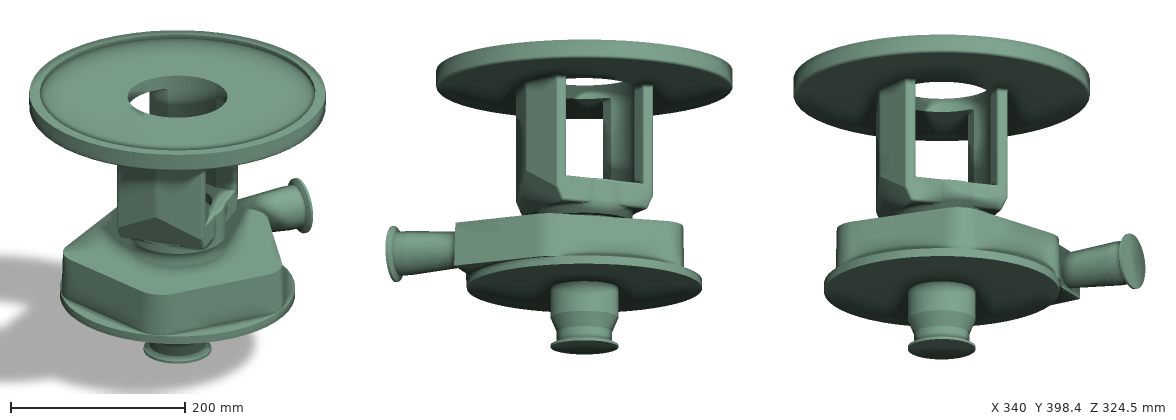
import cadquery as cq
import math

TOTAL_HEIGHT = 324.5
PLATE_BOTTOM = 303.5
YOKE_FLOOR = 187.5
YOKE_BOTTOM = 157.7
COLLAR_BOTTOM = 146.0
HOUSING_TOP = 129.5
FLANGE_TOP = 79.0
FLANGE_BOTTOM = 69.5
REDUCER_TOP = 34.5
REDUCER_BOTTOM = 18.5

PLATE_RADIUS = 170.0
PLATE_RECESS_RADIUS = 158.0
PLATE_RECESS_DEPTH = 5.0
PLATE_BORE_RADIUS = 57.5

YOKE_HALF_WIDTH = 52.0
YOKE_RIDGE_Y = 75.5
YOKE_CORNER_Y = 61.7
YOKE_RIDGE_BOTTOM = 200.5
YOKE_FOOT_Y = 54.5
WINDOW_HALF_WIDTH = 49.5
YOKE_RIDGE_RADIUS = 12.0
SMALL_RADIUS = 3.0

COLLAR_RADIUS = 55.0
NECK_RADIUS = 45.0
NECK_FLARE = 10.5
SHAFT_RECESS_RADIUS = 40.0
SHAFT_RECESS_DEPTH = 12.0

HOUSING_INNER_RADIUS = 113.0
HOUSING_SIDES = 5
FIRST_CORNER_ANGLE = 135
HOUSING_CORNER_RADIUS = 32.3
HOUSING_SPREAD = 1.0
FLANGE_RADIUS = 135.0

OUTLET_ANGLE = 45
OUTLET_OFFSET = 90.5
OUTLET_FACE = 116.7
OUTLET_HALF_WIDTH = 30.0
OUTLET_END = 200.5
OUTLET_PIPE_LENGTH = 20.5
OUTLET_PIPE_RADIUS = 25.3
OUTLET_ROOT_RADIUS = 20.5
OUTLET_CLAMP_RADIUS = 32.05
OUTLET_ROOT_DEPTH = 16.0

PIPE_RADIUS = 38.85
PIPE_END_RADIUS = 32.0
PIPE_CLAMP_RADIUS = 38.85

CLAMP_LIP = 2.8
CLAMP_HEIGHT = 6.5

HOUSING_MID = (HOUSING_TOP + FLANGE_TOP) / 2


def revolve_profile(points):
    """Solid of revolution about Z from (radius, height) points."""
    return cq.Workplane("XZ").polyline(points).close().revolve(360, (0, 0, 0), (0, 1, 0))


def cylinder(radius, bottom, top):
    return cq.Workplane("XY").workplane(offset=bottom).circle(radius).extrude(top - bottom)


def make_plate():
    plate = cylinder(PLATE_RADIUS, PLATE_BOTTOM, TOTAL_HEIGHT).faces("<Z").edges().fillet(SMALL_RADIUS)
    recess = cylinder(PLATE_RECESS_RADIUS, TOTAL_HEIGHT - PLATE_RECESS_DEPTH, TOTAL_HEIGHT)
    return plate.cut(recess)


def make_yoke():
    """Fork with ridged arms and sloping feet, rounded along its edges."""
    plan = [
        (YOKE_HALF_WIDTH, -YOKE_CORNER_Y),
        (YOKE_HALF_WIDTH, YOKE_CORNER_Y),
        (0, YOKE_RIDGE_Y),
        (-YOKE_HALF_WIDTH, YOKE_CORNER_Y),
        (-YOKE_HALF_WIDTH, -YOKE_CORNER_Y),
        (0, -YOKE_RIDGE_Y),
    ]
    block = cq.Workplane("XY").workplane(offset=YOKE_BOTTOM).polyline(plan).close()
    block = block.extrude(PLATE_BOTTOM - YOKE_BOTTOM)
    ridge_corners = cq.selectors.BoxSelector((-4, -394.5, 0), (4, 394.5, 394.5))
    block = block.edges("|Z").edges(ridge_corners).fillet(YOKE_RIDGE_RADIUS)
    side = [
        (YOKE_FOOT_Y, YOKE_BOTTOM),
        (YOKE_RIDGE_Y, YOKE_RIDGE_BOTTOM),
        (YOKE_RIDGE_Y, PLATE_BOTTOM),
        (-YOKE_RIDGE_Y, PLATE_BOTTOM),
        (-YOKE_RIDGE_Y, YOKE_RIDGE_BOTTOM),
        (-YOKE_FOOT_Y, YOKE_BOTTOM),
    ]
    envelope = cq.Workplane("YZ").polyline(side).close().extrude(YOKE_HALF_WIDTH, both=True)
    window_height = PLATE_BOTTOM - YOKE_FLOOR
    window = cq.Workplane("XY").workplane(offset=YOKE_FLOOR)
    window = window.rect(4 * YOKE_HALF_WIDTH, 2 * WINDOW_HALF_WIDTH).extrude(window_height)
    yoke = block.intersect(envelope).cut(window)
    return yoke.faces("<X or >X or <Z").edges("not(>Z)").fillet(SMALL_RADIUS)


def make_collar():
    collar = cylinder(COLLAR_RADIUS, COLLAR_BOTTOM, YOKE_FLOOR).faces(">Z").edges().fillet(SMALL_RADIUS)
    neck = (
        cq.Workplane("XZ")
        .moveTo(0, HOUSING_TOP)
        .lineTo(NECK_RADIUS + NECK_FLARE, HOUSING_TOP)
        .radiusArc((NECK_RADIUS, HOUSING_TOP + NECK_FLARE), NECK_FLARE)
        .lineTo(NECK_RADIUS, COLLAR_BOTTOM)
        .lineTo(0, COLLAR_BOTTOM)
        .close()
        .revolve(360, (0, 0, 0), (0, 1, 0))
    )
    return collar.union(neck)


def make_cove():
    """Concave rounding where the collar meets the underside of the yoke."""
    cove = (
        cq.Workplane("XZ")
        .moveTo(0, YOKE_BOTTOM)
        .lineTo(COLLAR_RADIUS + SMALL_RADIUS, YOKE_BOTTOM)
        .radiusArc((COLLAR_RADIUS, YOKE_BOTTOM - SMALL_RADIUS), -SMALL_RADIUS)
        .lineTo(0, YOKE_BOTTOM - SMALL_RADIUS)
        .close()
        .revolve(360, (0, 0, 0), (0, 1, 0))
    )
    underside = cq.Workplane("XY").box(
        2 * (YOKE_HALF_WIDTH - SMALL_RADIUS), 2 * YOKE_FOOT_Y, 2 * YOKE_BOTTOM
    )
    return cove.intersect(underside)


def polar(radius, angle):
    return (radius * math.cos(math.radians(angle)), radius * math.sin(math.radians(angle)))


def outlet_point(along, offset):
    """Plan point at a distance along the outlet direction and an offset to its left."""
    forward = polar(along, OUTLET_ANGLE)
    left = polar(offset, OUTLET_ANGLE + 90)
    return (forward[0] + left[0], forward[1] + left[1])


def make_housing():
    """Pentagon with an outlet face beside its first corner, widening downward, on a round flange."""
    corner_radius = HOUSING_INNER_RADIUS / math.cos(math.pi / HOUSING_SIDES)
    step = 360 / HOUSING_SIDES
    corners = [polar(corner_radius, FIRST_CORNER_ANGLE + i * step) for i in range(HOUSING_SIDES)]
    outlet_face = [
        outlet_point(OUTLET_FACE, OUTLET_OFFSET - OUTLET_HALF_WIDTH),
        outlet_point(OUTLET_FACE, OUTLET_OFFSET + OUTLET_HALF_WIDTH),
    ]
    outline = cq.Workplane("XY").polyline(corners + outlet_face).close()
    top = outline.val().moved(cq.Location((0, 0, HOUSING_TOP)))
    bottom = outline.val().offset2D(HOUSING_SPREAD, "intersection")[0].moved(cq.Location((0, 0, FLANGE_TOP)))
    housing = cq.Workplane(cq.Solid.makeLoft([bottom, top], True))
    for corner in corners:
        corner_edge = cq.selectors.NearestToPointSelector((*corner, HOUSING_MID))
        housing = housing.edges(corner_edge).fillet(HOUSING_CORNER_RADIUS)
    return housing.union(cylinder(FLANGE_RADIUS, FLANGE_BOTTOM, FLANGE_TOP))


def clamp_profile(pipe_radius, clamp_radius):
    """Axis-to-pipe part of a ferrule profile whose face lies at height zero."""
    return [(0, 0), (clamp_radius, 0), (clamp_radius, CLAMP_LIP), (pipe_radius, CLAMP_HEIGHT)]


def make_lower_pipe():
    return revolve_profile(clamp_profile(PIPE_END_RADIUS, PIPE_CLAMP_RADIUS) + [
        (PIPE_END_RADIUS, REDUCER_BOTTOM),
        (PIPE_RADIUS, REDUCER_TOP),
        (PIPE_RADIUS, FLANGE_BOTTOM),
        (0, FLANGE_BOTTOM),
    ])


def make_outlet_pipe():
    root = OUTLET_END - OUTLET_FACE
    pipe = revolve_profile(clamp_profile(OUTLET_PIPE_RADIUS, OUTLET_CLAMP_RADIUS) + [
        (OUTLET_PIPE_RADIUS, OUTLET_PIPE_LENGTH),
        (OUTLET_ROOT_RADIUS, root),
        (OUTLET_ROOT_RADIUS, root + OUTLET_ROOT_DEPTH),
        (0, root + OUTLET_ROOT_DEPTH),
    ])
    end = outlet_point(OUTLET_END, OUTLET_OFFSET)
    pipe = pipe.rotate((0, 0, 0), (0, 1, 0), -90).rotate((0, 0, 0), (0, 0, 1), OUTLET_ANGLE)
    return pipe.translate((*end, HOUSING_MID))


def make_stand():
    """Plate, yoke and collar in one piece, with the arms blended into the plate."""
    stand = make_yoke().union(make_collar()).union(make_cove()).union(make_plate())
    arm_ends = cq.selectors.BoxSelector(
        (-COLLAR_RADIUS, -YOKE_RIDGE_Y, PLATE_BOTTOM - SMALL_RADIUS),
        (COLLAR_RADIUS, YOKE_RIDGE_Y, PLATE_BOTTOM + SMALL_RADIUS),
    )
    stand = stand.edges(arm_ends).fillet(SMALL_RADIUS)
    plate_bore = cylinder(PLATE_BORE_RADIUS, YOKE_FLOOR, TOTAL_HEIGHT)
    shaft_recess = cylinder(SHAFT_RECESS_RADIUS, YOKE_FLOOR - SHAFT_RECESS_DEPTH, YOKE_FLOOR)
    return stand.cut(plate_bore).cut(shaft_recess)


result = make_stand().union(make_housing()).union(make_outlet_pipe()).union(make_lower_pipe())